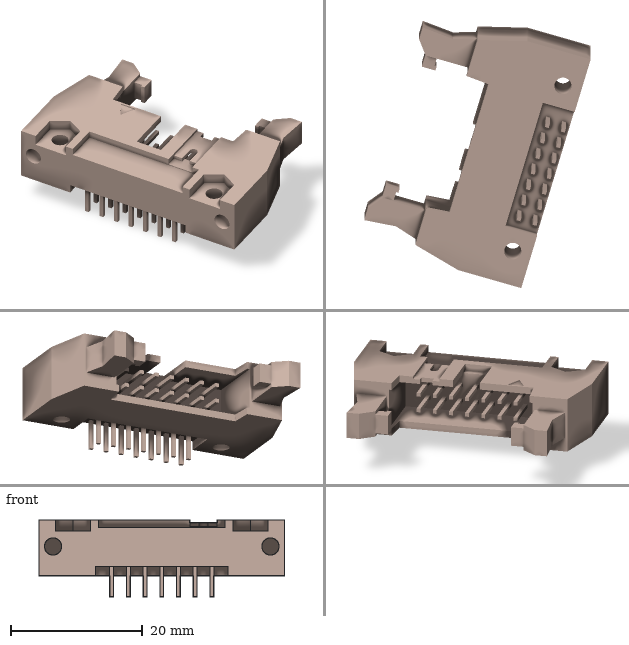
import cadquery as cq
import math


BODY_LENGTH = 37.4
BODY_HEIGHT = 8.5
TAPER_START_Y = 10.0
TOWER_TOP_Y = 17.35
TOWER_OUTER_X = 16.75
TOWER_INNER_X = 10.85
MOUTH_Y = 13.8
MOUTH_CORNER_X = 10.55
MID_Z = BODY_HEIGHT / 2
OVERCUT = 1.0

CAVITY_WIDTH = 22.5
CAVITY_BACK_Y = 7.45
WALL = 1.1
CAVITY_CEILING_Z = BODY_HEIGHT - WALL

PIN_COUNT = 7
ROW_COUNT = 2
PIN_PITCH = 2.54
PIN_WIDTH = 0.6
PIN_TIP_Y = 13.5
FIRST_ROW_Y = 1.07
PIN_DROP = 3.2

REAR_RECESS_LENGTH = 19.2
REAR_RECESS_Y = 5.05
REAR_RECESS_DEPTH = 1.15
BASE_RECESS_LENGTH = 20.2
BASE_RECESS_HEIGHT = 1.4

HOLE_DIAMETER = 2.6
MOUNT_X = 13.5
MOUNT_Y = 2.87
NUT_WIDTH = 5.3
NUT_DEPTH = 1.67
REAR_HOLE_X = 16.53
REAR_HOLE_Z = 4.47
REAR_HOLE_DEPTH = 6.0

POLARISING_WIDTH = 4.25
POLARISING_BACK_Y = 6.45

KEY_X = 6.35
KEY_WIDTH = 4.14
KEY_DEPTH = 0.4
KEY_STEP_Y = 6.7
KEY_STEP_DEPTH = 1.0
KEY_SLOT_WIDTH = 1.3
KEY_SLOT_END_Y = 9.65
KEY_NOTCH_WIDTH = 2.0
KEY_NOTCH_LENGTH = 1.0

MARK_WIDTH = 2.6
MARK_TOP_Y = 13.5
MARK_LENGTH = 2.45
MARK_DEPTH = 0.2

LATCH_THICKNESS = 4.1
LATCH_INNER_X = 11.65
LATCH_TOP_Y = 25.75
LATCH_TOP_INNER_X = 13.8
LATCH_TOP_OUTER_X = 15.75
LATCH_WAIST_X = 15.32
LATCH_WAIST_Y = 20.85
LATCH_ROOT_X = 16.4
HOOK_THICKNESS = 3.0
HOOK_TOP_Y = 24.1
HOOK_BOTTOM_Y = 22.3
HOOK_TIP_X = 9.67
HOOK_LIP_X = 10.3
HOOK_LIP_Y = 21.95


def block(x_min, x_max, y_min, y_max, z_min, z_max):
    """Box given by its limits along each axis."""
    size = (x_max - x_min, y_max - y_min, z_max - z_min)
    return cq.Workplane("XY").box(*size, centered=False).translate((x_min, y_min, z_min))


def centred_block(x, width, y_min, y_max, z_min, z_max):
    """Box centred on x along X and given by its limits along Y and Z."""
    return block(x - width / 2, x + width / 2, y_min, y_max, z_min, z_max)


def plate(points, z_min, z_max):
    """Polygon in the XY plane raised between two heights."""
    return cq.Workplane("XY").workplane(offset=z_min).polyline(points).close().extrude(z_max - z_min)


def both_sides(shape):
    """Shape together with its mirror image across the YZ plane."""
    return shape.union(shape.mirror("YZ"))


def make_body():
    half_outline = [
        (0, 0),
        (BODY_LENGTH / 2, 0),
        (BODY_LENGTH / 2, TAPER_START_Y),
        (TOWER_OUTER_X, TOWER_TOP_Y),
        (TOWER_INNER_X, TOWER_TOP_Y),
        (MOUTH_CORNER_X, MOUTH_Y),
        (0, MOUTH_Y),
    ]
    return both_sides(plate(half_outline, 0, BODY_HEIGHT))


def make_cavity():
    """Mating cavity, running on sideways between the tower walls."""
    return centred_block(0, CAVITY_WIDTH, CAVITY_BACK_Y, TOWER_TOP_Y + OVERCUT, WALL, CAVITY_CEILING_Z)


def make_rear_recesses():
    top_floor = BODY_HEIGHT - REAR_RECESS_DEPTH
    above = BODY_HEIGHT + OVERCUT
    top = centred_block(0, REAR_RECESS_LENGTH, -OVERCUT, REAR_RECESS_Y, top_floor, above)
    base = centred_block(0, BASE_RECESS_LENGTH, -OVERCUT, REAR_RECESS_Y, -OVERCUT, BASE_RECESS_HEIGHT)
    return top.union(base)


def make_mounting_cuts():
    """Through holes, hexagonal nut pockets open at the rear, and blind holes in the rear face."""
    half_width = NUT_WIDTH / 2
    corner_radius = NUT_WIDTH / math.sqrt(3)
    shoulder_y = MOUNT_Y + corner_radius / 2
    pocket_outline = [
        (MOUNT_X - half_width, -OVERCUT),
        (MOUNT_X + half_width, -OVERCUT),
        (MOUNT_X + half_width, shoulder_y),
        (MOUNT_X, MOUNT_Y + corner_radius),
        (MOUNT_X - half_width, shoulder_y),
    ]
    pocket = plate(pocket_outline, BODY_HEIGHT - NUT_DEPTH, BODY_HEIGHT + OVERCUT)
    radius = HOLE_DIAMETER / 2
    mount_hole = cq.Workplane("XY").center(MOUNT_X, MOUNT_Y).circle(radius).extrude(BODY_HEIGHT)
    rear_hole = cq.Workplane("XZ").center(REAR_HOLE_X, REAR_HOLE_Z).circle(radius).extrude(-REAR_HOLE_DEPTH)
    return both_sides(pocket.union(mount_hole).union(rear_hole))


def make_polarising_slot():
    return centred_block(
        0, POLARISING_WIDTH, POLARISING_BACK_Y, MOUTH_Y + OVERCUT, CAVITY_CEILING_Z, BODY_HEIGHT + OVERCUT
    )


def make_key_cuts():
    """Stepped channel in the top wall with a round-ended slot and a notch at the mouth."""
    above = BODY_HEIGHT + OVERCUT
    front = MOUTH_Y + OVERCUT
    step_z = BODY_HEIGHT - KEY_STEP_DEPTH
    channel = centred_block(KEY_X, KEY_WIDTH, REAR_RECESS_Y, front, BODY_HEIGHT - KEY_DEPTH, above)
    step = centred_block(KEY_X, KEY_WIDTH, REAR_RECESS_Y, KEY_STEP_Y, step_z, above)
    round_y = KEY_SLOT_END_Y - KEY_SLOT_WIDTH / 2
    shelf = centred_block(KEY_X, KEY_SLOT_WIDTH, KEY_STEP_Y, CAVITY_BACK_Y, step_z, above)
    slot = centred_block(KEY_X, KEY_SLOT_WIDTH, CAVITY_BACK_Y, round_y, CAVITY_CEILING_Z, above)
    slot_end = (
        cq.Workplane("XY")
        .workplane(offset=CAVITY_CEILING_Z)
        .center(KEY_X, round_y)
        .circle(KEY_SLOT_WIDTH / 2)
        .extrude(WALL)
    )
    notch_back = MOUTH_Y - KEY_NOTCH_LENGTH
    notch = centred_block(KEY_X, KEY_NOTCH_WIDTH, notch_back, front, CAVITY_CEILING_Z, above)
    return channel.union(step).union(shelf).union(slot).union(slot_end).union(notch)


def make_pin_one_mark():
    mark_x = -(PIN_COUNT - 1) / 2 * PIN_PITCH
    outline = [
        (mark_x - MARK_WIDTH / 2, MARK_TOP_Y),
        (mark_x + MARK_WIDTH / 2, MARK_TOP_Y),
        (mark_x, MARK_TOP_Y - MARK_LENGTH),
    ]
    return plate(outline, BODY_HEIGHT - MARK_DEPTH, BODY_HEIGHT + OVERCUT)


def make_latch():
    """Ejector latch on the +X side, with its inward hook."""
    arm_outline = [
        (LATCH_INNER_X, CAVITY_BACK_Y),
        (LATCH_ROOT_X, CAVITY_BACK_Y),
        (LATCH_ROOT_X, TOWER_TOP_Y),
        (LATCH_WAIST_X, LATCH_WAIST_Y),
        (LATCH_TOP_OUTER_X, LATCH_TOP_Y),
        (LATCH_TOP_INNER_X, LATCH_TOP_Y),
        (LATCH_INNER_X, HOOK_TOP_Y),
    ]
    hook_outline = [
        (LATCH_INNER_X, HOOK_TOP_Y),
        (HOOK_TIP_X, HOOK_TOP_Y),
        (HOOK_TIP_X, HOOK_LIP_Y),
        (HOOK_LIP_X, HOOK_LIP_Y),
        (HOOK_LIP_X, HOOK_BOTTOM_Y),
        (LATCH_INNER_X, HOOK_BOTTOM_Y),
    ]
    arm = plate(arm_outline, MID_Z - LATCH_THICKNESS / 2, MID_Z + LATCH_THICKNESS / 2)
    hook = plate(hook_outline, MID_Z - HOOK_THICKNESS / 2, MID_Z + HOOK_THICKNESS / 2)
    return arm.union(hook)


def make_pins():
    """Two rows of square pins: straight tails below, contacts along the cavity."""
    pins = cq.Workplane("XY")
    for column in range(PIN_COUNT):
        x = (column - (PIN_COUNT - 1) / 2) * PIN_PITCH
        for row in range(ROW_COUNT):
            tail_y = FIRST_ROW_Y + row * PIN_PITCH
            contact_z = MID_Z + ((ROW_COUNT - 1) / 2 - row) * PIN_PITCH
            half = PIN_WIDTH / 2
            tail = centred_block(x, PIN_WIDTH, tail_y - half, tail_y + half, -PIN_DROP, contact_z + half)
            contact = centred_block(x, PIN_WIDTH, tail_y, PIN_TIP_Y, contact_z - half, contact_z + half)
            pins = pins.union(tail).union(contact)
    return pins


body = make_body()
for cut in (
    make_cavity(),
    make_rear_recesses(),
    make_mounting_cuts(),
    make_polarising_slot(),
    make_key_cuts(),
    make_pin_one_mark(),
):
    body = body.cut(cut)

result = body.union(both_sides(make_latch())).union(make_pins())